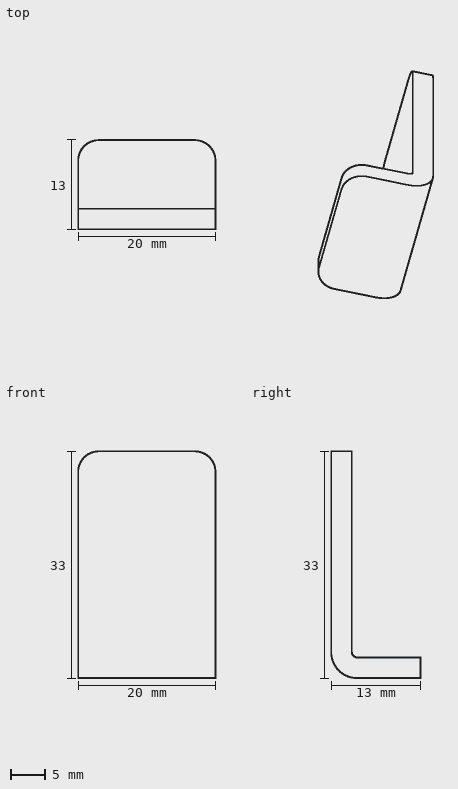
import cadquery as cq

width = 20.0
depth = 13.0
height = 33.0
thickness = 3.05
inner_bend_radius = 0.75
corner_radius = 3.05

outer_bend_radius = inner_bend_radius + thickness


def bent_strip():
    """L-shaped strip: foot along +Y, upright plate along +Z, centred on X."""
    foot = cq.Workplane("XY").box(width, depth, thickness, centered=(True, False, False))
    upright = cq.Workplane("XY").box(width, thickness, height, centered=(True, False, False))
    strip = foot.union(upright)
    inner_edge = cq.selectors.NearestToPointSelector((0, thickness, thickness))
    strip = strip.edges(inner_edge).fillet(inner_bend_radius)
    return strip.edges(cq.selectors.NearestToPointSelector((0, 0, 0))).fillet(outer_bend_radius)


def round_free_corners(strip):
    """Round the two top corners of the upright and the two end corners of the foot."""
    strip = strip.faces(">Z").edges("|Y").fillet(corner_radius)
    return strip.faces(">Y").edges("|Z").fillet(corner_radius)


result = round_free_corners(bent_strip())